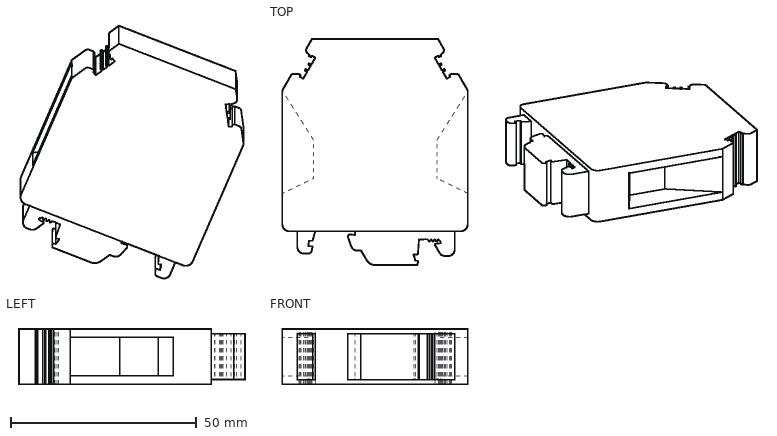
import cadquery as cq
import math


case_width = 50.0
case_thickness = 15.0
half_width = case_width / 2
case_back = 30.45
case_front = -21.4
case_corner_radius = 2.0

shoulder_angle = math.radians(60)
back_half_width = 17.0
shoulder_end = case_back - (half_width - back_half_width) * math.tan(shoulder_angle)
nose_tip_y = 27.3
nose_radius = 1.0
nose_inner_point = (17.65, 26.05)
ledge_y = 21.1
ledge_inner_x = 20.35
ledge_radius = 0.85

groove_center = (17.7, 22.6)
groove_length = 6.45
groove_height = 1.05
groove_mouth_length = 5.5
groove_mouth_height = 2.45
groove_rib_spacing = 1.8
groove_rib_width = 0.5
groove_rib_height = 0.75

recess_height = 10.35
recess_depth = 8.35
recess_ramp_end = 3.35
recess_floor_end = -7.0
recess_front = -11.1

foot_thickness = 12.4
foot_root = case_front + 0.6
foot_bottom = -30.45
small_foot_left = -20.95
small_foot_bottom = -27.35
small_foot_root_x = -16.1
large_foot_left = -5.4
large_foot_right = 21.5
step_bottom = -26.55
hook_bottom = -28.0
foot_radius = 1.8
heel_radius = 2.75
toe_radius = 1.0
step_edge_radius = 0.6
lip_radius = 0.25

tooth_start = 14.1
tooth_pitch = 1.0
tooth_count = 3
tooth_root_y = -23.5
tooth_tip_y = -24.2


def toward(start, end, distance):
    """Point at the given distance from start on the way to end."""
    ratio = distance / math.dist(start, end)
    return tuple(a + (b - a) * ratio for a, b in zip(start, end))


def extrude_outline(corners, thickness):
    """Plate centred on Z = 0 from (x, y, corner radius) corners; radius 0 is sharp."""
    outline = None
    for index, (x, y, radius) in enumerate(corners):
        corner = (x, y)
        before = corners[index - 1][:2]
        after = corners[(index + 1) % len(corners)][:2]
        if radius == 0:
            entry = corner
        else:
            heading_in = math.atan2(y - before[1], x - before[0])
            heading_out = math.atan2(after[1] - y, after[0] - x)
            turn = abs(math.remainder(heading_out - heading_in, math.tau))
            setback = radius * math.tan(turn / 2)
            entry = toward(corner, before, setback)
        if outline is None:
            outline = cq.Workplane("XY").moveTo(*entry)
        else:
            outline = outline.lineTo(*entry)
        if radius > 0:
            leave = toward(corner, after, setback)
            chord_middle = tuple((a + b) / 2 for a, b in zip(entry, leave))
            crown_distance = radius / math.cos(turn / 2) - radius
            outline = outline.threePointArc(toward(corner, chord_middle, crown_distance), leave)
    return outline.close().extrude(thickness / 2, both=True)


def mirrored(solid):
    """The solid together with its copy on the other side of X = 0."""
    return solid.union(solid.mirror("YZ"))


def shoulder_x(y):
    """X of the sloping shoulder at the given Y."""
    return back_half_width + (case_back - y) / math.tan(shoulder_angle)


def make_case():
    right_side = [
        (back_half_width, case_back, 0),
        (shoulder_x(nose_tip_y), nose_tip_y, nose_radius),
        (*nose_inner_point, 0),
        (ledge_inner_x, ledge_y, 0),
        (shoulder_x(ledge_y), ledge_y, ledge_radius),
        (half_width, shoulder_end, 0),
        (half_width, case_front, case_corner_radius),
    ]
    left_side = [(-x, y, radius) for x, y, radius in reversed(right_side)]
    return extrude_outline(right_side + left_side, case_thickness)


def groove_block(length, height, offset=0):
    """Block standing on the groove floor, running through the full case thickness."""
    block = cq.Workplane("XY").box(length, height, case_thickness, centered=(True, False, True))
    block = block.translate((offset, 0, 0))
    block = block.rotate((0, 0, 0), (0, 0, 1), -math.degrees(shoulder_angle))
    return block.translate((*groove_center, 0))


def make_groove():
    groove = groove_block(groove_length, groove_height)
    groove = groove.union(groove_block(groove_mouth_length, groove_mouth_height))
    for side in (-1, 1):
        offset = side * groove_rib_spacing / 2
        groove = groove.cut(groove_block(groove_rib_width, groove_rib_height, offset))
    return groove


def make_recess():
    floor_x = half_width - recess_depth
    corners = [
        (half_width, shoulder_end, 0),
        (floor_x, recess_ramp_end, 0),
        (floor_x, recess_floor_end, 0),
        (half_width, recess_front, 0),
    ]
    return extrude_outline(corners, recess_height)


def make_small_foot():
    corners = [
        (small_foot_left, foot_root, 0),
        (small_foot_root_x, foot_root, 0),
        (small_foot_root_x, case_front, 0),
        (-16.8, -23.95, 0),
        (-17.7, -23.9, 0),
        (-17.95, -25.35, 0),
        (-16.75, -25.35, lip_radius),
        (-17.2, small_foot_bottom, toe_radius),
        (small_foot_left, small_foot_bottom, foot_radius),
    ]
    return extrude_outline(corners, foot_thickness)


def make_large_foot():
    left_profile = [
        (large_foot_left, foot_root, 0),
        (large_foot_left, -22.3, 0),
        (-7.5, -22.05, step_edge_radius),
        (-7.25, -23.1, 0),
        (-6.0, step_bottom, foot_radius),
        (-3.8, step_bottom, 0),
        (-1.45, foot_bottom, heel_radius),
    ]
    slot_left_wall = [
        (11.4, foot_bottom, lip_radius),
        (11.7, -29.25, lip_radius),
        (10.9, -29.25, 0),
        (10.4, -27.6, 0),
        (11.6, -27.6, lip_radius),
        (11.9, -23.55, 0),
    ]
    saw_teeth = []
    for index in range(tooth_count):
        start = tooth_start + index * tooth_pitch
        saw_teeth.append((start, tooth_root_y, 0))
        saw_teeth.append((start + tooth_pitch / 2, tooth_tip_y, 0))
    hook = [
        (tooth_start + tooth_count * tooth_pitch, tooth_root_y, 0),
        (17.65, -24.1, 0),
        (17.65, -24.5, 0),
        (15.95, -24.7, lip_radius),
        (17.85, hook_bottom, foot_radius),
        (large_foot_right, hook_bottom, foot_radius),
        (large_foot_right, foot_root, 0),
    ]
    return extrude_outline(left_profile + slot_left_wall + saw_teeth + hook, foot_thickness)


result = (
    make_case()
    .cut(mirrored(make_groove()))
    .cut(mirrored(make_recess()))
    .union(make_small_foot())
    .union(make_large_foot())
)